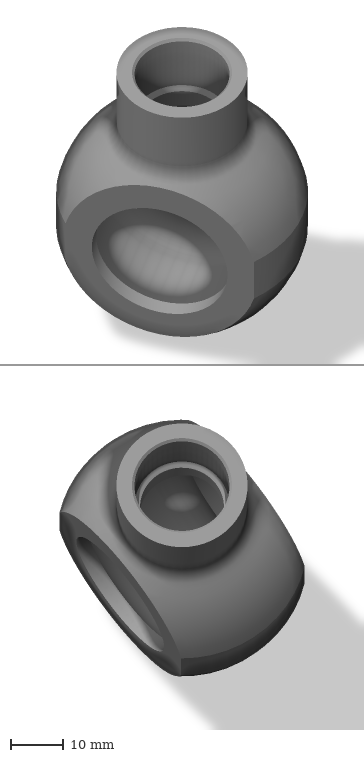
import cadquery as cq
import math

ball_radius = 24.5
waist_radius = 24.0
body_width = 30.0

neck_top = 36.0
neck_radius = 25.0 / 2
blend_radius = 4.0

socket_radius = 18.1 / 2
socket_depth = 12.0
mouth_chamfer = 0.5
passage_radius = 16.0 / 2
shoulder_slope = 30.0

cross_bore_radius = 27.0 / 2
chamber_radius = 20.0
chamber_width = 24.0
chamber_fillet = 5.8


def cross_cylinder(radius):
    """Cylinder along Y across the full width of the body."""
    return cq.Workplane("XZ").circle(radius).extrude(body_width / 2, both=True)


def make_body():
    ball = cq.Workplane("XY").sphere(ball_radius)
    waist = cq.Workplane("XY").circle(waist_radius).extrude(ball_radius + waist_radius)
    waist = waist.translate((0, 0, -waist_radius))
    slab = cq.Workplane("XY").box(2 * ball_radius, body_width, 2 * ball_radius)
    return ball.intersect(waist).intersect(slab)


def make_neck():
    center_r = neck_radius + blend_radius
    center_distance = ball_radius + blend_radius
    center_z = math.sqrt(center_distance**2 - center_r**2)
    foot_scale = ball_radius / center_distance
    foot = (center_r * foot_scale, center_z * foot_scale)
    middle_angle = math.pi + math.atan2(center_z, center_r) / 2
    middle = (
        center_r + blend_radius * math.cos(middle_angle),
        center_z + blend_radius * math.sin(middle_angle),
    )
    return (
        cq.Workplane("XZ")
        .lineTo(foot[0], 0)
        .lineTo(*foot)
        .threePointArc(middle, (neck_radius, center_z))
        .lineTo(neck_radius, neck_top)
        .lineTo(0, neck_top)
        .close()
        .revolve(360, (0, 0), (0, 1))
    )


def make_neck_bore():
    socket_floor = neck_top - socket_depth
    shoulder_drop = (socket_radius - passage_radius) * math.tan(math.radians(shoulder_slope))
    shoulder_floor = socket_floor - shoulder_drop
    return (
        cq.Workplane("XZ")
        .lineTo(passage_radius, 0)
        .lineTo(passage_radius, shoulder_floor)
        .lineTo(socket_radius, socket_floor)
        .lineTo(socket_radius, neck_top - mouth_chamfer)
        .lineTo(socket_radius + mouth_chamfer, neck_top)
        .lineTo(0, neck_top)
        .close()
        .revolve(360, (0, 0), (0, 1))
    )


def make_chamber():
    barrel = cq.Workplane("XZ").circle(chamber_radius).extrude(chamber_width / 2, both=True)
    return barrel.edges().fillet(chamber_fillet)


result = (
    make_body()
    .union(make_neck())
    .cut(cross_cylinder(cross_bore_radius))
    .cut(make_chamber())
    .cut(make_neck_bore())
)